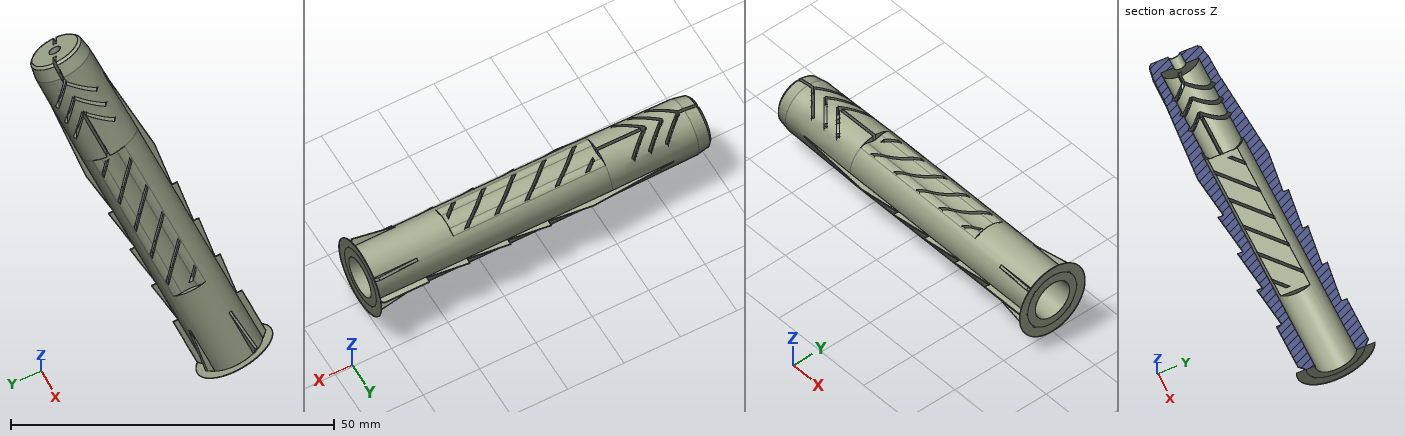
import cadquery as cq
import math

length = 60.0

body_radius = 5.0
tip_face_radius = 4.0
tip_edge_radius = 4.4
tip_edge_length = 0.4
nose_radius = 4.78
nose_length = 2.55
taper_end = 18.0
collar_radius = 13.4 / 2
collar_thickness = 0.1
collar_face = length - collar_thickness

bore_radius = 7.0 / 2
tip_bore_radius = 3.2
tip_wall = 2.2
tip_hole_diameter = 2.0

recess_start = taper_end
recess_end = 45.0
recess_bore_half_height = 2.45
trough_height = 4.02
inflection_y = 1.37
inflection_height = 4.27
crest_y = 1.9
crest_height = 4.37
recess_edge_y = 2.8

tip_slot_width = 0.5
tip_slot_inner_height = 2.1
slit_width = 0.5
slit_angle = 41.0
slit_reach = 2.55
slit_pitch = 5.36
slit_count = 6
slit_end_margin = 1.0
chevron_first_apex = 3.5
chevron_pitch = 2.97
chevron_count = 3
chevron_reach = 3.5
last_chevron_apex = chevron_first_apex + (chevron_count - 1) * chevron_pitch

fin_thickness = 0.2
fin_start = 7.05
fin_start_radius = 4.9
fin_radius = 6.0
fin_peak = 21.9
barb_start = 29.4
barb_pitch = 7.2
sloped_barb_count = 3
last_barb_start = barb_start + sloped_barb_count * barb_pitch

rib_width = 0.5
rib_start = 51.8
rib_radius = 6.1
rib_angles = (45, 135, 225, 315)

root_radius = 4.3
blade_foot_radius = 5.1
blade_chamfer_start = 59.0


def cylinder_x(radius, start, end):
    return cq.Workplane("YZ").workplane(offset=start).circle(radius).extrude(end - start)


def box_between(x_range, y_range, z_range):
    size = [high - low for low, high in (x_range, y_range, z_range)]
    corner = (x_range[0], y_range[0], z_range[0])
    return cq.Workplane("XY").box(*size, centered=False).translate(corner)


def make_body():
    return (
        cq.Workplane("XY")
        .polyline([
            (0, 0),
            (0, tip_face_radius),
            (tip_edge_length, tip_edge_radius),
            (nose_length, nose_radius),
            (taper_end, body_radius),
            (collar_face, body_radius),
            (collar_face, collar_radius),
            (length, collar_radius),
            (length, 0),
        ])
        .close()
        .revolve(360, (0, 0, 0), (1, 0, 0))
    )


def extrude_blade(outline, thickness):
    """Plate centred on the XY plane from an outline of (X, radius) points."""
    return cq.Workplane("XY").polyline(outline).close().extrude(thickness / 2, both=True)


def make_fin():
    outline = [
        (fin_start, root_radius),
        (fin_start, fin_start_radius),
        (fin_peak, fin_radius),
        (barb_start, blade_foot_radius),
    ]
    for index in range(sloped_barb_count):
        start = barb_start + index * barb_pitch
        outline.append((start, fin_radius))
        outline.append((start + barb_pitch, blade_foot_radius))
    outline += [
        (last_barb_start, fin_radius),
        (blade_chamfer_start, fin_radius),
        (collar_face, blade_foot_radius),
        (collar_face, root_radius),
    ]
    return extrude_blade(outline, fin_thickness)


def make_rib():
    outline = [
        (rib_start, root_radius),
        (rib_start, body_radius),
        (blade_chamfer_start, rib_radius),
        (collar_face, blade_foot_radius),
        (collar_face, root_radius),
    ]
    return extrude_blade(outline, rib_width)


def turned_about_axis(shape, angle):
    return shape.rotate((0, 0, 0), (1, 0, 0), angle)


def make_bore():
    tip_hole = cylinder_x(tip_hole_diameter / 2, 0, length)
    tip_bore = cylinder_x(tip_bore_radius, tip_wall, recess_start)
    flattened_bore = cylinder_x(bore_radius, recess_start, recess_end).intersect(
        box_between(
            (recess_start, recess_end),
            (-bore_radius, bore_radius),
            (-recess_bore_half_height, recess_bore_half_height),
        )
    )
    mouth_bore = cylinder_x(bore_radius, recess_end, length)
    return tip_hole.union(tip_bore).union(flattened_bore).union(mouth_bore)


def make_recess():
    """Material above the wave: a concave trough between two convex crests."""
    edge_height = math.sqrt(body_radius**2 - recess_edge_y**2)
    return (
        cq.Workplane("YZ")
        .workplane(offset=recess_start)
        .moveTo(-recess_edge_y, edge_height)
        .threePointArc((-crest_y, crest_height), (-inflection_y, inflection_height))
        .threePointArc((0, trough_height), (inflection_y, inflection_height))
        .threePointArc((crest_y, crest_height), (recess_edge_y, edge_height))
        .lineTo(recess_edge_y, collar_radius)
        .lineTo(-recess_edge_y, collar_radius)
        .close()
        .extrude(recess_end - recess_start)
    )


def make_diagonal_slits():
    """Slanted slits through both recess floors, trimmed to the window inside the recess."""
    window = box_between(
        (recess_start + slit_end_margin, recess_end - slit_end_margin),
        (-slit_reach, slit_reach),
        (-body_radius, body_radius),
    )
    untrimmed_length = recess_end - recess_start
    recess_middle = (recess_start + recess_end) / 2
    centres = [
        (recess_middle + (index - (slit_count - 1) / 2) * slit_pitch, 0)
        for index in range(slit_count)
    ]
    slits = (
        cq.Workplane("XY")
        .pushPoints(centres)
        .slot2D(untrimmed_length, slit_width, slit_angle)
        .extrude(body_radius, both=True)
    )
    return slits.intersect(window)


def make_chevron(apex_x):
    """V-shaped slit pointing at the tip, cut through along Z."""
    arm_length = chevron_reach / math.sin(math.radians(slit_angle))
    chevron = cq.Workplane("XY")
    for angle in (slit_angle, -slit_angle):
        arm = (
            cq.Workplane("XY")
            .box(arm_length, slit_width, 2 * body_radius, centered=(False, True, True))
            .rotate((0, 0, 0), (0, 0, 1), angle)
            .translate((apex_x, 0, 0))
        )
        chevron = chevron.add(arm)
    return chevron.combine()


def make_centre_slots():
    """Slots along Y = 0: through the nose beside the tip hole, and behind the last chevron."""
    half_width = tip_slot_width / 2
    y_range = (-half_width, half_width)
    tip_slot = box_between(
        (0, chevron_first_apex), y_range, (tip_slot_inner_height, body_radius)
    )
    lower_tip_slot = tip_slot.mirror("XY")
    long_slot = box_between(
        (last_chevron_apex, recess_start), y_range, (-body_radius, body_radius)
    )
    return tip_slot.union(lower_tip_slot).union(long_slot)


result = make_body()

fin = make_fin()
for fin_angle in (0, 180):
    result = result.union(turned_about_axis(fin, fin_angle))

rib = make_rib()
for rib_angle in rib_angles:
    result = result.union(turned_about_axis(rib, rib_angle))

recess = make_recess()
result = result.cut(recess).cut(recess.mirror("XY"))
result = result.cut(make_bore())
result = result.cut(make_diagonal_slits())
for chevron_index in range(chevron_count):
    result = result.cut(make_chevron(chevron_first_apex + chevron_index * chevron_pitch))
result = result.cut(make_centre_slots())